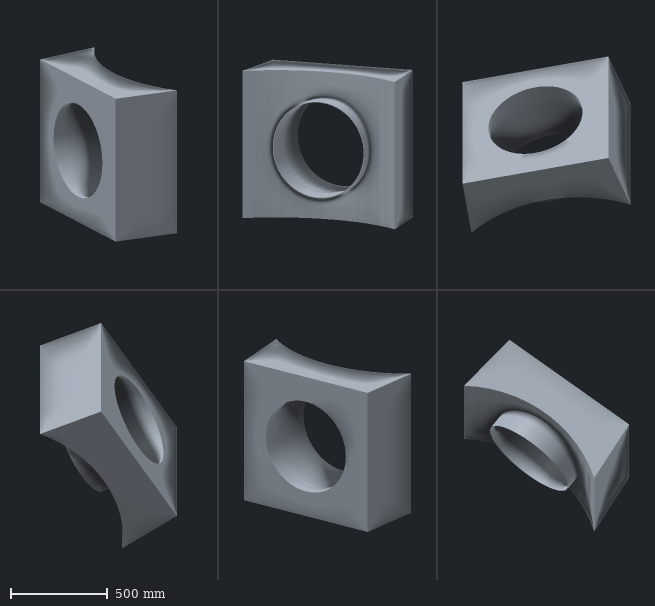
import cadquery as cq

back_width = 845.0
front_width = 775.0
height = 775.0
depth = 345.0
middle_depth = 211.0

sleeve_diameter = 508.0
sleeve_wall = 3.8
sleeve_length = depth


def cylinder_along_y(diameter, length):
    """Cylinder from the front face (Y = 0) towards +Y, centred on the block face."""
    return cq.Workplane("XZ").circle(diameter / 2).extrude(-length)


def make_block():
    block = (
        cq.Workplane("XY")
        .workplane(offset=-height / 2)
        .moveTo(-front_width / 2, 0)
        .lineTo(front_width / 2, 0)
        .lineTo(back_width / 2, depth)
        .threePointArc((0, middle_depth), (-back_width / 2, depth))
        .close()
        .extrude(height)
    )
    return block.cut(cylinder_along_y(sleeve_diameter, depth))


def make_sleeve():
    bore_diameter = sleeve_diameter - 2 * sleeve_wall
    outside = cylinder_along_y(sleeve_diameter, sleeve_length)
    return outside.cut(cylinder_along_y(bore_diameter, sleeve_length))


block = make_block()
sleeve = make_sleeve()
result = cq.Compound.makeCompound([block.val(), sleeve.val()])